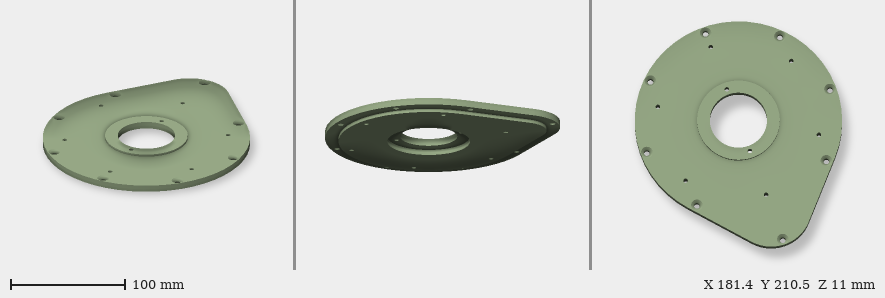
import cadquery as cq
import math

total_length = 210.5
total_height = 11.0
body_radius = 90.7
tip_radius = 35.1
tip_center_y = total_length - body_radius - tip_radius

step_inset = 11.8
step_height = 3.0
boss_height = 2.0
boss_radius = 36.2
plate_top = total_height - boss_height
plate_height = plate_top - step_height

bore_radius = 25.0
recess_radius = boss_radius
recess_depth = 4.6
screw_diameter = 5.0
sink_diameter = 10.0
sink_angle = 90
screw_circle_radius = 85.0
tip_screw_y = 114.9
pin_diameter = 4.0
pin_circle_radius = 71.5
boss_pin_radius = 29.9


def teardrop(inset, height, bottom):
    """Plate bounded by a large arc, a tip arc and their two tangent lines."""
    big = body_radius - inset
    small = tip_radius - inset
    sin_tangent = (big - small) / tip_center_y
    cos_tangent = math.sqrt(1 - sin_tangent**2)
    body_x, body_y = big * cos_tangent, big * sin_tangent
    tip_x = small * cos_tangent
    tip_y = tip_center_y + small * sin_tangent
    return (
        cq.Workplane("XY", origin=(0, 0, bottom))
        .moveTo(body_x, body_y)
        .lineTo(tip_x, tip_y)
        .threePointArc((0, tip_center_y + small), (-tip_x, tip_y))
        .lineTo(-body_x, body_y)
        .threePointArc((0, -big), (body_x, body_y))
        .close()
        .extrude(height)
    )


def circle_points(radius, angles):
    """Points on a circle about the origin, at angles in degrees."""
    return [
        (radius * math.cos(math.radians(a)), radius * math.sin(math.radians(a)))
        for a in angles
    ]


step = teardrop(step_inset, step_height, 0)
plate = teardrop(0, plate_height, step_height)
boss = cq.Workplane("XY", origin=(0, 0, plate_top)).circle(boss_radius).extrude(boss_height)
result = step.union(plate).union(boss)

bore = cq.Workplane("XY").circle(bore_radius).extrude(total_height)
recess = cq.Workplane("XY").circle(recess_radius).extrude(recess_depth)
result = result.cut(bore).cut(recess)

screw_angles = [a for a in range(0, 360, 45) if a != 90]
screw_points = circle_points(screw_circle_radius, screw_angles) + [(0, tip_screw_y)]
result = (
    result.copyWorkplane(cq.Workplane("XY", origin=(0, 0, plate_top)))
    .pushPoints(screw_points)
    .cskHole(screw_diameter, sink_diameter, sink_angle)
)

pin_points = circle_points(pin_circle_radius, range(30, 390, 60))
pin_points += circle_points(boss_pin_radius, (90, 270))
pins = cq.Workplane("XY").pushPoints(pin_points).circle(pin_diameter / 2).extrude(total_height)
result = result.cut(pins)